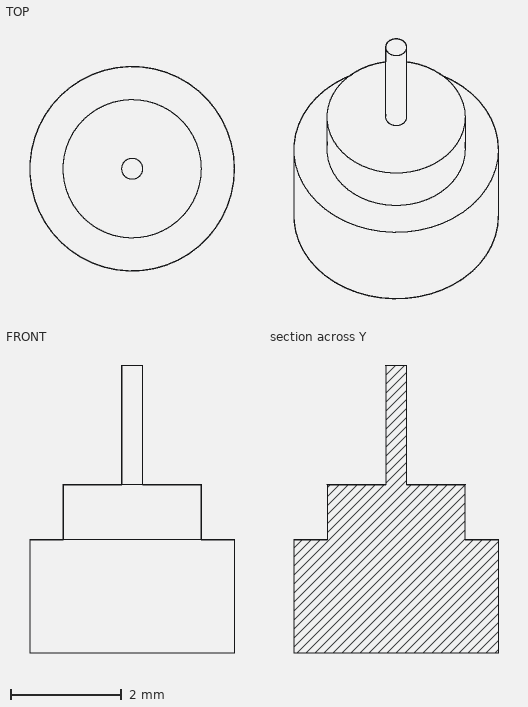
import cadquery as cq

total_height = 5.2
body_diameter = 3.7
body_height = 2.05
collar_diameter = 2.5
collar_height = 1.0
pin_diameter = 0.38
pin_height = total_height - body_height - collar_height


def add_cylinder(base, diameter, height):
    """Stack a centred cylinder on the top face of the base."""
    return base.faces(">Z").workplane().circle(diameter / 2).extrude(height)


body = cq.Workplane("XY").circle(body_diameter / 2).extrude(body_height)

body_with_collar = add_cylinder(body, collar_diameter, collar_height)
result = add_cylinder(body_with_collar, pin_diameter, pin_height)